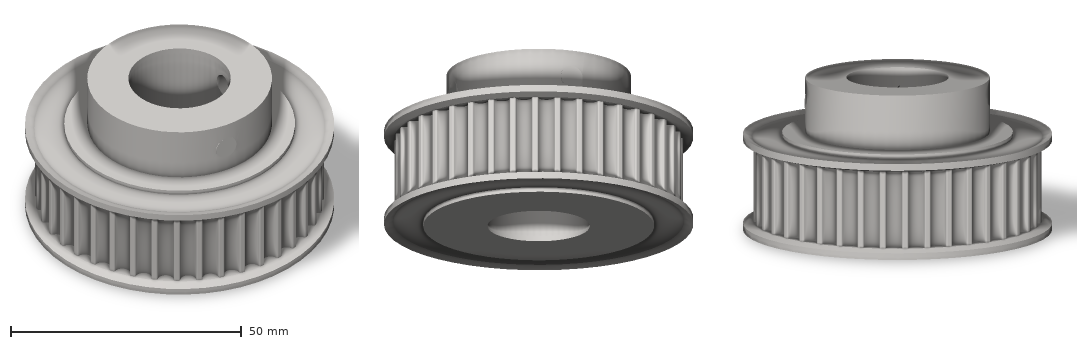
import cadquery as cq


total_height = 34.0
hub_height = 12.0
shoulder_top_z = total_height - hub_height

bore_diameter = 22.2
hub_diameter = 40.0
shoulder_diameter = 50.0
tooth_diameter = 62.5

groove_count = 40
groove_radius = 1.75
groove_depth = 1.95
tooth_tip_fillet = 0.37

flange_diameter = 67.0
flange_thickness = 1.5
flange_recess = 1.0
bend_diameter = 63.0
rim_offset = 0.6

screw_diameter = 5.0
screw_length = 5.0
screw_z = shoulder_top_z + hub_height / 2
screw_angles = (0, 90)

band_bottom_z = flange_recess + flange_thickness
band_top_z = shoulder_top_z - band_bottom_z


def cylinder(diameter, bottom_z, top_z):
    """Solid cylinder on the pulley axis."""
    base = cq.Workplane("XY").workplane(offset=bottom_z)
    return base.circle(diameter / 2).extrude(top_z - bottom_z)


def make_toothed_band():
    """Band of teeth: a cylinder with round grooves and rounded tooth tips."""
    tip_radius = tooth_diameter / 2
    groove_center_radius = tip_radius - groove_depth + groove_radius
    grooves = (
        cq.Workplane("XY")
        .workplane(offset=band_bottom_z)
        .polarArray(groove_center_radius, 0, 360, groove_count)
        .circle(groove_radius)
        .extrude(band_top_z - band_bottom_z)
    )
    band = cylinder(tooth_diameter, band_bottom_z, band_top_z).cut(grooves)

    return band.edges("|Z").fillet(tooth_tip_fillet)


def make_screw_cylinder(angle, start_radius, end_radius):
    """Cylinder of the screw diameter, running outward from the pulley axis at the given angle."""
    along_x = (
        cq.Workplane("YZ", origin=(start_radius, 0, screw_z))
        .circle(screw_diameter / 2)
        .extrude(end_radius - start_radius)
    )
    return along_x.rotate((0, 0, 0), (0, 0, 1), angle)


def make_pulley():
    """Toothed band with a shoulder at each end, a hub on top, the bore and the screw holes."""
    pulley = make_toothed_band()
    pulley = pulley.union(cylinder(shoulder_diameter, 0, shoulder_top_z))
    pulley = pulley.union(cylinder(hub_diameter, shoulder_top_z, total_height))
    pulley = pulley.cut(cylinder(bore_diameter, 0, total_height))
    for angle in screw_angles:
        pulley = pulley.cut(make_screw_cylinder(angle, 0, hub_diameter))
    return pulley


def make_lower_flange():
    """Dished washer around the lower shoulder, its rim leaning down away from the teeth."""
    inner_radius = shoulder_diameter / 2
    bend_radius = bend_diameter / 2
    rim_radius = flange_diameter / 2
    flat_top_z = band_bottom_z
    flat_bottom_z = flat_top_z - flange_thickness
    section = [
        (inner_radius, flat_bottom_z),
        (bend_radius, flat_bottom_z),
        (rim_radius, flat_bottom_z - rim_offset),
        (rim_radius, flat_top_z - rim_offset),
        (bend_radius, flat_top_z),
        (inner_radius, flat_top_z),
    ]
    return cq.Workplane("XZ").polyline(section).close().revolve(360, (0, 0, 0), (0, 1, 0))


def make_flanges():
    """The lower flange and its mirror image at the upper shoulder."""
    lower = make_lower_flange()
    upper = lower.mirror("XY", (0, 0, shoulder_top_z / 2))
    return [lower, upper]


def make_set_screws():
    """One plain set screw in the outer end of each screw hole."""
    hub_radius = hub_diameter / 2
    return [make_screw_cylinder(angle, hub_radius - screw_length, hub_radius) for angle in screw_angles]


pulley = make_pulley()
flanges = make_flanges()
set_screws = make_set_screws()

result = cq.Compound.makeCompound([body.val() for body in [pulley, *flanges, *set_screws]])